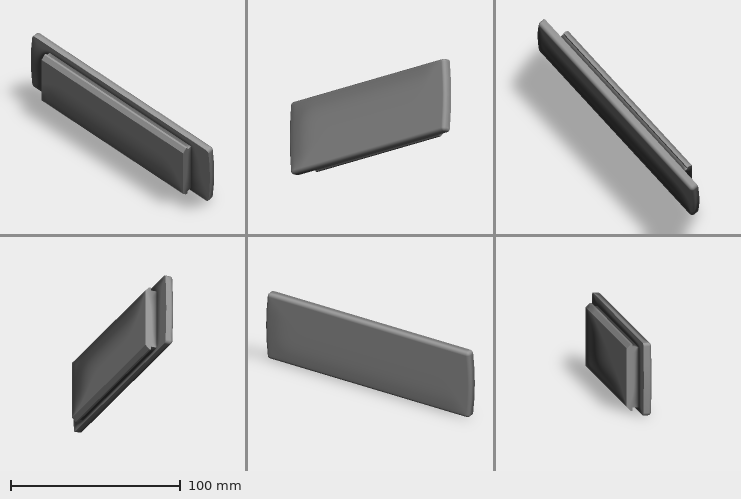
import cadquery as cq
import math

plate_length = 141.72
plate_height = 43.97
plate_thickness = 5.0
end_bow_radius = 178.0
corner_radius = 2.0
back_edge_radius = 2.0

insert_length = 112.0
insert_depth = 7.0
neck_depth = 3.4
neck_top = 16.7
neck_bottom = -19.7
lip_overhang = 1.9
lip_bevel = 2.4


def make_plate():
    """Plate with bowed ends, rounded corners and a rounded back rim at Y = 0."""
    half_length = plate_length / 2
    half_height = plate_height / 2
    bow = end_bow_radius - math.sqrt(end_bow_radius**2 - half_height**2)
    corner_x = half_length - bow
    plate = (
        cq.Workplane("XZ")
        .moveTo(-corner_x, -half_height)
        .lineTo(corner_x, -half_height)
        .threePointArc((half_length, 0), (corner_x, half_height))
        .lineTo(-corner_x, half_height)
        .threePointArc((-half_length, 0), (-corner_x, -half_height))
        .close()
        .extrude(plate_thickness)
    )
    plate = plate.edges("|Y").fillet(corner_radius)
    return plate.faces(">Y").edges().fillet(back_edge_radius)


def make_insert():
    """Constant-section block: a neck, then overhanging lips with bevelled fronts."""
    root_y = -plate_thickness
    lip_y = root_y - neck_depth
    front_y = root_y - insert_depth
    bevel_y = front_y + lip_bevel
    lip_top = neck_top + lip_overhang
    lip_bottom = neck_bottom - lip_overhang
    section = [
        (root_y, neck_bottom),
        (lip_y, neck_bottom),
        (lip_y, lip_bottom),
        (bevel_y, lip_bottom),
        (front_y, lip_bottom + lip_bevel),
        (front_y, lip_top - lip_bevel),
        (bevel_y, lip_top),
        (lip_y, lip_top),
        (lip_y, neck_top),
        (root_y, neck_top),
    ]
    return cq.Workplane("YZ").polyline(section).close().extrude(insert_length / 2, both=True)


result = make_plate().union(make_insert())